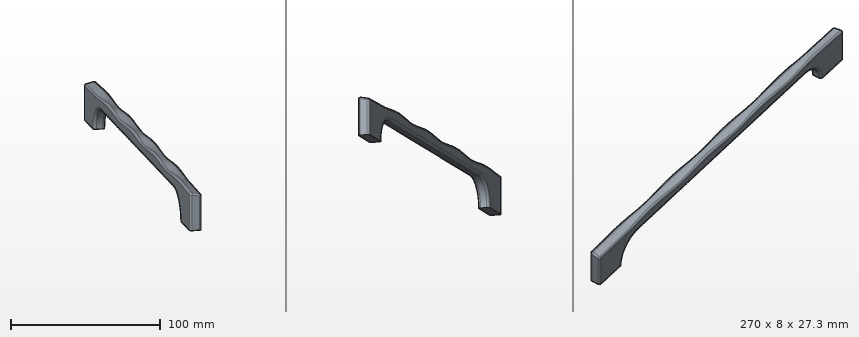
import cadquery as cq

length = 270.0
width = 8.0
middle_height = 26.5
bar_blank_height = 2 * middle_height

span_count = 9
span = length / span_count
tilt = 1.4
end_tilt = 0.8
end_drop = 0.8
end_overrun = 1.4

foot_length = 24.8
opening_height = 18.0
opening_radius = opening_height

opening_round = 2.0
corner_round = 1.5
top_round = 1.4


def top_point(index, side):
    """Point of the top surface at a span joint; side is -1 for the front and 1 for the back."""
    at_start = index == 0
    at_end = index == span_count
    past_end = at_start or at_end
    overrun = end_overrun * (at_end - at_start)
    tilt_joint = min(max(index, 1), span_count - 1)
    joint_tilt = end_tilt if past_end else tilt
    middle = middle_height - end_drop if past_end else middle_height
    rise = -side * joint_tilt * (-1) ** tilt_joint
    return cq.Vector(index * span + overrun, side * width, middle + 2 * rise)


def twisted_envelope():
    """Oversized solid under a ruled top surface whose two side curves are level at every joint."""
    level = cq.Vector(1, 0, 0)
    joints = range(span_count + 1)
    curves = []
    for side in (-1, 1):
        points = [top_point(index, side) for index in joints]
        curves.append(cq.Edge.makeSpline(points, tangents=[level] * len(points), scale=False))
    top = cq.Face.makeRuledSurface(*curves)
    return cq.Workplane(cq.Solid.extrudeLinear(top, cq.Vector(0, 0, -bar_blank_height)))


def plain_bar():
    """Flat-sided bar, taller than the finished part, with rounded upright corners."""
    bar = cq.Workplane("XY").box(length, width, bar_blank_height, centered=(False, True, False))
    return bar.edges("|Z").fillet(corner_round)


def opening():
    """Finger opening with a quarter circle at each upper corner."""
    opening_length = length - 2 * foot_length
    block = cq.Workplane("XY").box(opening_length, 2 * width, 2 * opening_height)
    block = block.edges("|Y and >Z").fillet(opening_radius)
    return block.translate((length / 2, 0, 0))


def round_opening(part):
    """Round the front and back edges of the opening."""
    margin = 0.3
    near_opening = cq.selectors.BoxSelector(
        (foot_length - margin, -width, -margin),
        (length - foot_length + margin, width, opening_height + margin),
    )
    side_edges = part.faces("<Y or >Y").edges(near_opening).edges("not <Z")
    return side_edges.fillet(opening_round)


bar = plain_bar().intersect(twisted_envelope())
bar = bar.faces(">Z").edges().fillet(top_round)
result = round_opening(bar.cut(opening()))